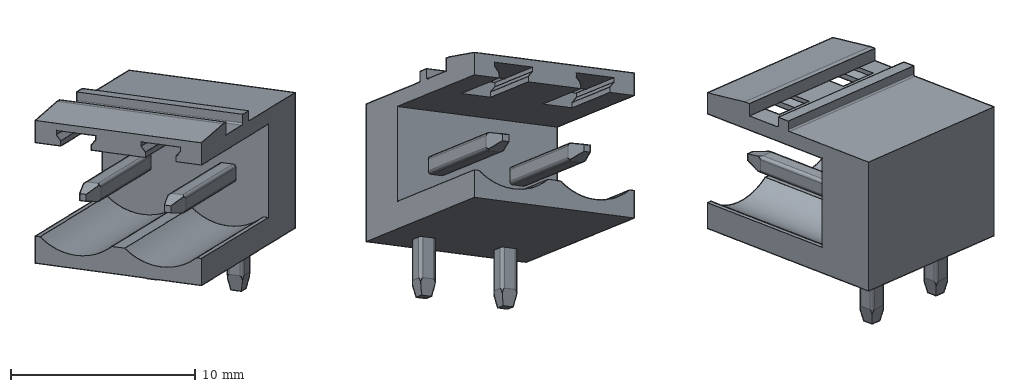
import cadquery as cq


width = 9.96
length = 12.0
back_wall_thickness = 3.45
floor_thickness = 1.54
ceiling_z = 6.83
deck_z = 7.68
crest_z = 8.41
cavity_back_y = length - back_wall_thickness

ridge_back_y = 3.13
crest_width = 0.34
nose_z = 8.09

rib_front_y = 5.28
rib_thickness = 0.75
rib_top_z = 8.27
rib_base_radius = 0.1

pin_count = 2
pin_pitch = 5.08

trough_half_width = 2.15
trough_depth = 0.78

slot_end_y = 4.18
slot_head_width = 2.35
slot_throat_width = 1.82
slot_throat_height = 0.3
slot_head_height = 0.24

wire_size = 1.01
wire_edge_radius = 0.18
contact_z = 3.79
contact_end_y = 0.89
contact_tip_length = 1.25
contact_tip_size = 0.4
leg_y = 9.95
leg_length = 3.22
leg_tip_length = 0.94
leg_tip_size = 0.62

pin_positions = [(i - (pin_count - 1) / 2) * pin_pitch for i in range(pin_count)]


def make_housing_block():
    """C-shaped side profile with the latch ridge and the stop rib, extruded over the width."""
    rib_back_y = rib_front_y + rib_thickness
    profile = (
        cq.Workplane("YZ")
        .moveTo(0, 0)
        .lineTo(length, 0)
        .lineTo(length, deck_z)
        .lineTo(rib_back_y, deck_z)
        .lineTo(rib_back_y, rib_top_z)
        .lineTo(rib_front_y, rib_top_z)
        .lineTo(rib_front_y, deck_z)
        .lineTo(ridge_back_y, deck_z)
        .lineTo(ridge_back_y, crest_z)
        .lineTo(ridge_back_y - crest_width, crest_z)
        .lineTo(0, nose_z)
        .lineTo(0, ceiling_z)
        .lineTo(cavity_back_y, ceiling_z)
        .lineTo(cavity_back_y, floor_thickness)
        .lineTo(0, floor_thickness)
        .close()
    )
    block = profile.extrude(width / 2, both=True)
    rib_base_edges = cq.selectors.BoxSelector(
        (-width, rib_front_y - rib_base_radius, deck_z - rib_base_radius),
        (width, rib_back_y + rib_base_radius, deck_z + rib_base_radius),
    )
    return block.edges("|X").edges(rib_base_edges).fillet(rib_base_radius)


def make_trough(x):
    """Shallow circular trough in the floor, running the length of the cavity."""
    return (
        cq.Workplane("XZ")
        .moveTo(x - trough_half_width, floor_thickness)
        .threePointArc(
            (x, floor_thickness - trough_depth),
            (x + trough_half_width, floor_thickness),
        )
        .close()
        .extrude(-cavity_back_y)
    )


def make_keying_slot(x):
    """Slot open to the front, to the cavity below and to the deck behind the ridge."""
    throat = slot_throat_width / 2
    head = slot_head_width / 2
    throat_top_z = ceiling_z + slot_throat_height
    head_bottom_z = deck_z - slot_head_height
    return (
        cq.Workplane("XZ")
        .moveTo(x - throat, ceiling_z)
        .lineTo(x - throat, throat_top_z)
        .lineTo(x - head, head_bottom_z)
        .lineTo(x - head, deck_z)
        .lineTo(x + head, deck_z)
        .lineTo(x + head, head_bottom_z)
        .lineTo(x + throat, throat_top_z)
        .lineTo(x + throat, ceiling_z)
        .close()
        .extrude(-slot_end_y)
    )


def make_tip(tip_length, tip_size):
    """Tapered wire end pointing along +Z: rounded wire trimmed to a square pyramid."""
    wire = cq.Workplane("XY").rect(wire_size, wire_size).extrude(tip_length)
    wire = wire.edges("|Z").fillet(wire_edge_radius)
    pyramid = (
        cq.Workplane("XY")
        .rect(wire_size, wire_size)
        .workplane(offset=tip_length)
        .rect(tip_size, tip_size)
        .loft()
    )
    return wire.intersect(pyramid)


def make_pin(x):
    """Right-angle pin: a contact along Y and a solder leg along Z, both with tapered ends."""
    contact_tip_y = contact_end_y + contact_tip_length
    leg_tip_z = leg_tip_length - leg_length
    half_wire = wire_size / 2
    shank = (
        cq.Workplane("YZ", origin=(x, 0, 0))
        .moveTo(contact_tip_y, contact_z + half_wire)
        .lineTo(leg_y + half_wire, contact_z + half_wire)
        .lineTo(leg_y + half_wire, leg_tip_z)
        .lineTo(leg_y - half_wire, leg_tip_z)
        .lineTo(leg_y - half_wire, contact_z - half_wire)
        .lineTo(contact_tip_y, contact_z - half_wire)
        .close()
        .extrude(half_wire, both=True)
    )
    contact_box = cq.selectors.BoxSelector(
        (x - wire_size, contact_tip_y, contact_z - wire_size),
        (x + wire_size, length, contact_z + wire_size),
    )
    leg_box = cq.selectors.BoxSelector(
        (x - wire_size, leg_y - wire_size, leg_tip_z),
        (x + wire_size, length, contact_z + wire_size),
    )
    contact_edges = shank.edges("|Y").edges(contact_box)
    leg_edges = shank.edges("|Z").edges(leg_box)
    shank = contact_edges.add(leg_edges).fillet(wire_edge_radius)
    contact_tip = (
        make_tip(contact_tip_length, contact_tip_size)
        .rotate((0, 0, 0), (1, 0, 0), 90)
        .translate((x, contact_tip_y, contact_z))
    )
    leg_tip = (
        make_tip(leg_tip_length, leg_tip_size)
        .rotate((0, 0, 0), (1, 0, 0), 180)
        .translate((x, leg_y, leg_tip_z))
    )
    return shank.union(contact_tip).union(leg_tip)


pins = [make_pin(x) for x in pin_positions]

housing = make_housing_block()
for x in pin_positions:
    housing = housing.cut(make_trough(x))
    housing = housing.cut(make_keying_slot(x))
for pin in pins:
    housing = housing.cut(pin)

result = cq.Compound.makeCompound([housing.solids().val(), *[pin.solids().val() for pin in pins]])